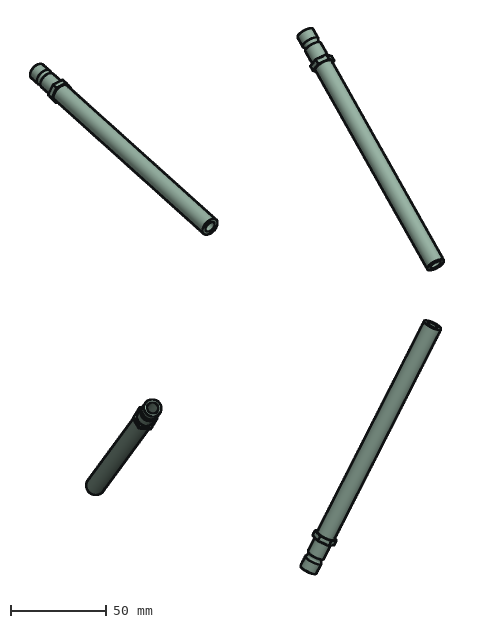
import cadquery as cq
import math

total_length = 150.0
nose_length = 6.0
groove_width = 3.0
hex_start = 18.0
hex_width = 3.0

nose_diameter = 9.4
tube_diameter = 10.0
bore_diameter = 6.0
hex_across_flats = 11.0

groove_radius = 2.0

nose_radius = nose_diameter / 2
tube_radius = tube_diameter / 2
bore_radius = bore_diameter / 2
hex_half_sector = math.radians(30)


def make_tube_body():
    """Turned tube around the X axis with a rounded locking groove behind its nose."""
    half_width = groove_width / 2
    groove_depth = groove_radius - math.sqrt(groove_radius**2 - half_width**2)
    groove_bottom = (nose_length + half_width, nose_radius - groove_depth)
    groove_end = (nose_length + groove_width, nose_radius)
    half_section = (
        cq.Workplane("XZ")
        .moveTo(0, bore_radius)
        .lineTo(0, nose_radius)
        .lineTo(nose_length, nose_radius)
        .threePointArc(groove_bottom, groove_end)
        .lineTo(hex_start, nose_radius)
        .lineTo(hex_start, tube_radius)
        .lineTo(total_length, tube_radius)
        .lineTo(total_length, bore_radius)
        .close()
    )
    return half_section.revolve(360, (0, 0, 0), (1, 0, 0))


def make_hex_collar():
    """Hexagonal ring with corners on +Y and -Y and flats on +Z and -Z."""
    across_corners = hex_across_flats / math.cos(hex_half_sector)
    return (
        cq.Workplane("YZ", origin=(hex_start, 0, 0))
        .polygon(6, across_corners)
        .circle(bore_radius)
        .extrude(hex_width)
    )


result = make_tube_body().union(make_hex_collar())